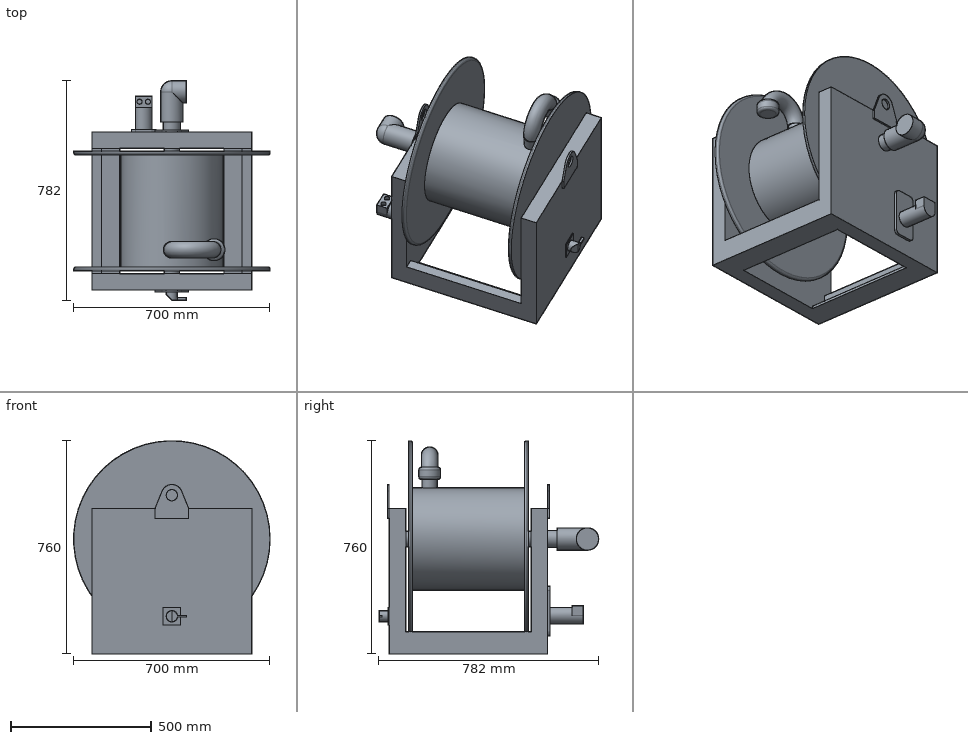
import cadquery as cq
import math


frame_width = 570
frame_depth = 564
wall_thickness = 59
wall_height = 519
rail_height = 80
rail_lip_width = 35
rail_width = 100
rail_floor_thickness = 10
front_face = -frame_depth / 2
back_face = frame_depth / 2
wall_gap = frame_depth - 2 * wall_thickness

shaft_diameter = 56
flange_diameter = 700
flange_thickness = 14
flange_edge_radius = 8
flange_clearance = 10
drum_diameter = 366
overall_height = 760
reel_axis_z = overall_height - flange_diameter / 2
drum_length = wall_gap - 2 * flange_clearance

outlet_y = -138
neck_diameter = 55
bend_diameter = 60
bend_radius = 75
bend_start_z = 633
collar_diameter = 78
collar_height = 44
collar_bottom_z = 622
collar_edge_radius = 10

inlet_pipe_diameter = 62
elbow_diameter = 80
elbow_start = 34
elbow_axis_offset = 142
elbow_reach = 52

lug_width = 120
lug_thickness = 7
lug_top_z = 604
lug_bottom_z = 484
lug_tip_radius = 38
lug_hole_diameter = 40

motor_x = -100
motor_z = 137
motor_diameter = 60
motor_reach = 127
motor_plate_width = 88
motor_plate_height = 178
motor_plate_z = 153
motor_plate_thickness = 9
motor_plate_corner_radius = 15
port_block_length = 40
port_block_height = 36
port_diameter = 18
port_spacing = 30
port_depth = 15

switch_z = 135
switch_plate_size = 63
switch_plate_thickness = 4
knob_diameter = 40
knob_reach = 36
lever_end_x = 52
lever_height = 6
lever_depth = 10


def box(x_range, y_range, z_range):
    """Box between two limits along each axis."""
    corner = (x_range[0], y_range[0], z_range[0])
    size = (x_range[1] - x_range[0], y_range[1] - y_range[0], z_range[1] - z_range[0])
    return cq.Workplane("XY").box(*size, centered=False).translate(corner)


def rod_along_y(diameter, x, z, y_start, y_end):
    """Round rod parallel to the reel shaft."""
    plane = cq.Workplane("XZ", origin=(x, y_end, z))
    return plane.circle(diameter / 2).extrude(y_end - y_start)


def make_frame():
    half_width = frame_width / 2
    inner_half = wall_gap / 2
    x_range = (-half_width, half_width)
    frame = box(x_range, (front_face, -inner_half), (0, wall_height))
    frame = frame.union(box(x_range, (inner_half, back_face), (0, wall_height)))
    left_lip = box(
        (-half_width, -half_width + rail_lip_width), (front_face, back_face), (0, rail_height)
    )
    left_floor = box(
        (-half_width, -half_width + rail_width), (front_face, back_face), (0, rail_floor_thickness)
    )
    left_rail = left_lip.union(left_floor)
    return frame.union(left_rail).union(left_rail.mirror("YZ"))


def make_reel():
    drum_end = drum_length / 2
    reel = rod_along_y(shaft_diameter, 0, reel_axis_z, front_face, back_face)
    reel = reel.union(rod_along_y(drum_diameter, 0, reel_axis_z, -drum_end, drum_end))
    front_flange = rod_along_y(flange_diameter, 0, reel_axis_z, -drum_end, flange_thickness - drum_end)
    front_flange = front_flange.faces(">Y").edges().fillet(flange_edge_radius)
    return reel.union(front_flange).union(front_flange.mirror("XZ"))


def make_hose_outlet():
    neck_height = bend_start_z - reel_axis_z
    neck = (
        cq.Workplane("XY", origin=(0, outlet_y, reel_axis_z))
        .circle(neck_diameter / 2)
        .extrude(neck_height)
    )
    bend = (
        cq.Workplane("XY", origin=(0, outlet_y, bend_start_z))
        .circle(bend_diameter / 2)
        .revolve(180, (bend_radius, 0, 0), (bend_radius, 1, 0))
    )
    collar = (
        cq.Workplane("XY", origin=(2 * bend_radius, outlet_y, collar_bottom_z))
        .circle(collar_diameter / 2)
        .extrude(collar_height)
        .edges()
        .fillet(collar_edge_radius)
    )
    return neck.union(bend).union(collar)


def make_inlet():
    """Inlet pipe ending in an elbow that turns toward +X around a rounded corner."""
    corner_y = back_face + elbow_axis_offset
    elbow_radius = elbow_diameter / 2
    pipe = rod_along_y(inlet_pipe_diameter, 0, reel_axis_z, back_face, corner_y)
    body = rod_along_y(elbow_diameter, 0, reel_axis_z, back_face + elbow_start, corner_y)
    outlet = cq.Workplane("YZ", origin=(0, corner_y, reel_axis_z)).circle(elbow_radius).extrude(elbow_reach)
    corner_limits = box(
        (-elbow_radius, 0),
        (corner_y, corner_y + elbow_radius),
        (reel_axis_z - elbow_radius, reel_axis_z + elbow_radius),
    )
    corner = cq.Workplane("XY").sphere(elbow_radius).translate((0, corner_y, reel_axis_z))
    return body.union(outlet).union(corner.intersect(corner_limits)).union(pipe)


def make_lug(y_end):
    """Lifting lug whose sides run tangent from the wall top to a round tip."""
    half_width = lug_width / 2
    tip_z = lug_top_z - lug_tip_radius
    rise = tip_z - wall_height
    shoulder_distance = math.hypot(half_width, rise)
    shoulder_angle = math.atan2(-rise, half_width)
    tangent_angle = shoulder_angle + math.acos(lug_tip_radius / shoulder_distance)
    tangent_x = lug_tip_radius * math.cos(tangent_angle)
    tangent_z = tip_z + lug_tip_radius * math.sin(tangent_angle)
    return (
        cq.Workplane("XZ", origin=(0, y_end, 0))
        .moveTo(-half_width, lug_bottom_z)
        .lineTo(half_width, lug_bottom_z)
        .lineTo(half_width, wall_height)
        .lineTo(tangent_x, tangent_z)
        .threePointArc((0, lug_top_z), (-tangent_x, tangent_z))
        .lineTo(-half_width, wall_height)
        .close()
        .moveTo(0, tip_z)
        .circle(lug_hole_diameter / 2)
        .extrude(lug_thickness)
    )


def make_motor():
    plate_end = back_face + motor_plate_thickness
    motor_end = back_face + motor_reach
    block_top = motor_z + port_block_height
    block_half_width = motor_diameter / 2
    plate = (
        cq.Workplane("XZ", origin=(motor_x, plate_end, motor_plate_z))
        .rect(motor_plate_width, motor_plate_height)
        .extrude(motor_plate_thickness)
        .edges("|Y")
        .fillet(motor_plate_corner_radius)
    )
    body = rod_along_y(motor_diameter, motor_x, motor_z, back_face, motor_end)
    block = box(
        (motor_x - block_half_width, motor_x + block_half_width),
        (motor_end - port_block_length, motor_end),
        (motor_z, block_top),
    )
    ports = (
        cq.Workplane("XY", origin=(motor_x, motor_end - port_block_length / 2, block_top))
        .rarray(port_spacing, 1, 2, 1)
        .circle(port_diameter / 2)
        .extrude(-port_depth)
    )
    return plate.union(body).union(block).cut(ports)


def make_switch():
    knob_radius = knob_diameter / 2
    knob_end = front_face - knob_reach
    plate = (
        cq.Workplane("XZ", origin=(0, front_face, switch_z))
        .rect(switch_plate_size, switch_plate_size)
        .extrude(switch_plate_thickness)
    )
    knob = rod_along_y(knob_diameter, 0, switch_z, knob_end, front_face)
    bevel = (
        cq.Workplane("XY", origin=(0, 0, switch_z))
        .polyline([(0, knob_end), (-knob_radius, knob_end), (-knob_radius, knob_end + knob_radius)])
        .close()
        .extrude(knob_radius, both=True)
    )
    lever = box(
        (0, lever_end_x),
        (knob_end, knob_end + lever_depth),
        (switch_z - lever_height / 2, switch_z + lever_height / 2),
    )
    return plate.union(knob.cut(bevel)).union(lever)


result = (
    make_frame()
    .union(make_reel())
    .union(make_hose_outlet())
    .union(make_inlet())
    .union(make_lug(front_face))
    .union(make_lug(back_face + lug_thickness))
    .union(make_motor())
    .union(make_switch())
)